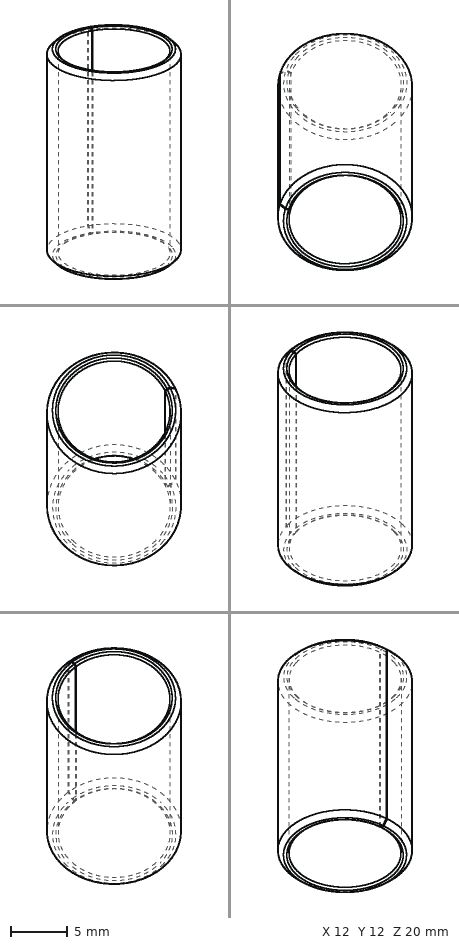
import cadquery as cq

outer_diameter = 12.0
bore_diameter = 10.0
length = 20.0
outer_chamfer = 0.5
inner_chamfer = 0.2
seam_angle = 1.0

outer_radius = outer_diameter / 2
bore_radius = bore_diameter / 2


def wall_section():
    """Chamfered wall outline on the -X side of the XZ plane, centred in Z."""
    half_length = length / 2
    outer_chamfer_start = half_length - outer_chamfer
    inner_chamfer_start = half_length - inner_chamfer
    corners = [
        (-bore_radius, -inner_chamfer_start),
        (-bore_radius - inner_chamfer, -half_length),
        (-outer_radius + outer_chamfer, -half_length),
        (-outer_radius, -outer_chamfer_start),
        (-outer_radius, outer_chamfer_start),
        (-outer_radius + outer_chamfer, half_length),
        (-bore_radius - inner_chamfer, half_length),
        (-bore_radius, inner_chamfer_start),
    ]
    return cq.Workplane("XZ").polyline(corners).close()


def split_sleeve():
    """Sweep the wall around Z from -X through -Y, stopping short to leave the seam on the +Y side."""
    axis_start = (0, 0)
    axis_end = (0, 1)
    return wall_section().revolve(360 - seam_angle, axis_start, axis_end)


result = split_sleeve()